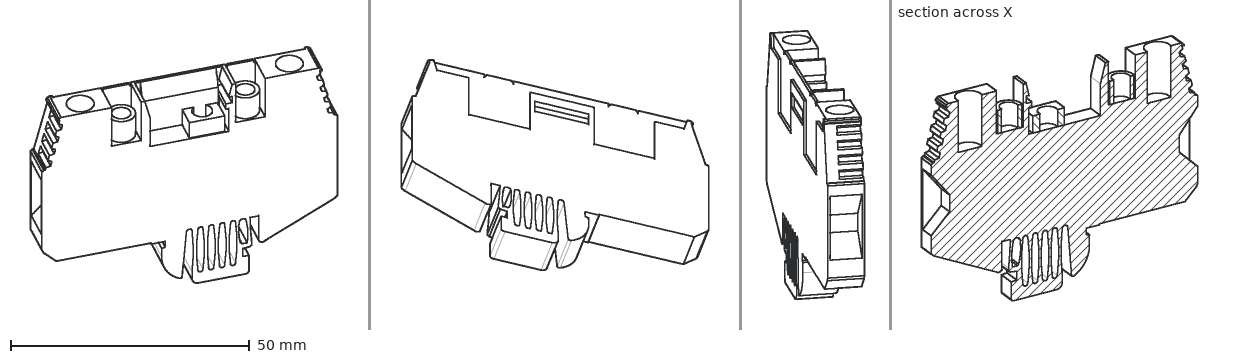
import cadquery as cq
import math


THICKNESS = 7.9
LENGTH = 65.0
HEIGHT = 50.0
HALF = LENGTH / 2

SHOULDER_Z = 37.05
SHOULDER_Y = 31.8
LIP_Y = 29.1
LIP_WIDTH = 0.8
LIP_HEIGHT = 0.8
LIP_FACET = (0.5, 0.25)
LIP_EDGE_DROP = 0.6
LIP_UNDERCUT = 0.45
LIP_Z = HEIGHT - LIP_HEIGHT
SLOPE_TOP_Y = LIP_Y - LIP_UNDERCUT
SHOULDER_CHAMFER = 0.4
SLOPE = (SHOULDER_Y - SLOPE_TOP_Y) / (LIP_Z - SHOULDER_Z)

END_BOTTOM_Z = 15.9
UNDERSIDE_Z = 12.75
RAIL_SEAT_Z = 12.5
RAIL_SEAT_END_Y = -8.5
END_CHAMFER = END_BOTTOM_Z - UNDERSIDE_Z
END_BREAK = 0.35
SLOT_TOP_Z = 14.5
RAMP_TOP = (31.7, 15.2)
RAMP_END = (16.6, 7.75)
RAMP_TIP_MIDDLE = (15.8, 7.5)
RAMP_TIP_Y = 15.2
RAMP_TIP_Z = 8.0
FOOT_Y_MAX = 13.05
FOOT_Y_MIN = 0.5
FOOT_RADIUS = 0.8
FOOT_HEEL_RADIUS = 1.4
BEAM_TOP_Y = 13.25
BEAM_MIDDLE = (13.42, 11.0)
BEAM_NOSE_Y = 13.66
BEAM_NOSE_TOP_Z = 8.0
BEAM_NOSE_BOTTOM_Z = 7.3
BEAM_NOSE_CORNER = (13.2, 6.9)
FOOT_NOTCH_Y = 11.67
FOOT_NOTCH_BOTTOM = 4.75
FOOT_NOTCH_TOP = 6.7
FOOT_NOTCH_TILT = 0.1
FOOT_SIDE_TOP_Z = 3.2
LAST_BEAM_MIDDLE = (0.75, 9.0)
FINGER_SLOT_WIDTH = 1.25
FINGER_TIP_INNER = (-1.66, 2.5)
FINGER_TIP_MIDDLE = (-1.85, 2.2)
FINGER_TIP_OUTER = (-2.3, 2.15)
FINGER_BELLY = (-5.1, 4.7)
FINGER_BELLY_TOP_Z = 8.6
FINGER_HOOK_Z = 10.8
FINGER_NECK_Z = 11.05
FINGER_OUTER_Y = -6.15
FINGER_NECK_Y = -5.4

LENS_COUNT = 4
LENS_FIRST_Y = 9.52
LENS_PITCH = 2.39
LENS_BOTTOM_Z = 2.85
LENS_END_WIDTH = 1.1
LENS_MIDDLE_WIDTH = 1.75

SHORT_SLOT_SHOULDER_Z = 14.0
SHORT_SLOT_OUTER_Y = 12.4
SHORT_SLOT_INNER_Y = 10.9
SHORT_SLOT_OUTER_MIDDLE = (12.78, 10.4)
SHORT_SLOT_INNER_MIDDLE = (10.75, 11.5)
SHORT_SLOT_BOTTOM_Z = 8.05
SHORT_SLOT_BOTTOM_OUTER_Y = 12.65
SHORT_SLOT_BOTTOM_INNER_Y = 11.2
SHORT_SLOT_CHAMFER = 0.3

SCREW_HOLE_DIAMETER = 5.8
SCREW_HOLE_DEPTH = 12.0
SCREW_HOLE_X = 4.5
SCREW_HOLE_Y = 23.0

FUNNEL_SIDE_WALL = 0.55
FUNNEL_DEPTH = 4.5
FUNNEL_MOUTH_BOTTOM = 20.2
FUNNEL_MOUTH_TOP = 34.3
FUNNEL_BACK_BOTTOM = 24.7
FUNNEL_BACK_TOP = 28.6

GROOVE_COUNT = 4
GROOVE_PITCH = 3.0
GROOVE_FIRST_TOP = 48.5
GROOVE_HEIGHT = 1.85
GROOVE_DEPTH = 1.0
GROOVE_ROOF_DROP = 0.65
GROOVE_FLOOR_RISE = 0.2
GROOVE_X = 2.7

LABEL_DEPTH = 0.55
LABEL_TOP_HALF = 27.8
LABEL_BAND_HALF = 27.1
LABEL_BAND_Z = 47.0
LABEL_LEG_Z = 35.1
LABEL_LEGS = [(20.1, 6.6), (-7.33, -20.66)]

POCKET_WALL = 1.1
POCKET_WIDTH = 6.46
POCKET_CENTRES = [13.33, -13.95]
POCKET_FLOOR_Z = 40.0
POCKET_NOTCH_WIDTH = 0.5
POCKET_NOTCH_DEPTH = 0.8
SOCKET_X = 4.4
SOCKET_DIAMETER = 6.0
SOCKET_BORE = 4.0
SOCKET_TOP_Z = 45.4

WINDOW_FLOOR_Z = 38.0
WINDOW_TOP_MAX = 9.3
WINDOW_TOP_MIN = -9.9
WINDOW_FLOOR_MIN = -8.7
RAMP_END_Z = 45.4
CATCH_RAMP_Y = 8.57
CATCH_RAMP_Z = 46.9
CATCH_SHELF_Y = 7.95
CATCH_SHELF_Z = 45.3
CATCH_SHELF_THICKNESS = 1.4
CATCH_UNDERCUT_Y = 8.6
WINDOW_SIDE_X = 1.15
WINDOW_SIDE_FOOT_X = 2.7
WINDOW_SIDE_FOOT_Z = 46.0
SLIDER_Y_MIN = 0.0
SLIDER_Y_MAX = 7.8
SLIDER_X_MAX = 7.6
SLIDER_TOP_Z = 42.0
SLIDER_HOLE_DIAMETER = 4.3
SLIDER_HOLE_Y = 3.85

LATCH_Y_MIN = -6.2
LATCH_Y_MAX = 5.65
LATCH_BOTTOM_Z = 41.2
LATCH_ROOF_Z = 43.4
LATCH_TOP_Z = 44.4
LATCH_DEPTH = 0.5


def side_plane(x):
    """Sketch plane with local (Y, Z) axes, standing at the given X."""
    return cq.Workplane("YZ", origin=(x, 0, 0))


def side_prism(points, x_start, x_end):
    """Prism along X from a (Y, Z) polygon."""
    return side_plane(x_start).polyline(points).close().extrude(x_end - x_start)


def mirrored_end(cutter):
    """The cutter together with its mirror image at the other end."""
    return cutter.union(cutter.mirror("XZ"))


def housing_blank():
    """Full side outline of the housing, including the spring foot."""
    lip_flat_y = LIP_Y - LIP_WIDTH
    lip_facet = (lip_flat_y + LIP_FACET[0], HEIGHT - LIP_FACET[1])
    lip_edge_z = HEIGHT - LIP_EDGE_DROP
    slot_left = FOOT_Y_MIN
    slot_right = FOOT_Y_MIN - FINGER_SLOT_WIDTH
    slot_radius = FINGER_SLOT_WIDTH / 2
    slot_end_z = SLOT_TOP_Z - slot_radius
    foot_45 = FOOT_RADIUS * (1 - math.sqrt(0.5))
    heel_45 = FOOT_HEEL_RADIUS * (1 - math.sqrt(0.5))
    outline = (
        side_plane(0)
        .moveTo(-lip_flat_y, HEIGHT)
        .lineTo(lip_flat_y, HEIGHT)
        .lineTo(*lip_facet)
        .lineTo(LIP_Y, lip_edge_z)
        .lineTo(LIP_Y, LIP_Z)
        .lineTo(SLOPE_TOP_Y, LIP_Z)
        .lineTo(SHOULDER_Y, SHOULDER_Z)
        .lineTo(HALF - SHOULDER_CHAMFER, SHOULDER_Z)
        .lineTo(HALF, SHOULDER_Z - SHOULDER_CHAMFER)
        .lineTo(HALF, END_BOTTOM_Z)
        .lineTo(*RAMP_TOP)
        .lineTo(*RAMP_END)
        .threePointArc(RAMP_TIP_MIDDLE, (RAMP_TIP_Y, RAMP_TIP_Z))
        .lineTo(RAMP_TIP_Y, SLOT_TOP_Z)
        .lineTo(BEAM_TOP_Y, SLOT_TOP_Z)
        .threePointArc(BEAM_MIDDLE, (BEAM_NOSE_Y, BEAM_NOSE_TOP_Z))
        .lineTo(BEAM_NOSE_Y, BEAM_NOSE_BOTTOM_Z)
        .lineTo(*BEAM_NOSE_CORNER)
        .lineTo(FOOT_NOTCH_Y, FOOT_NOTCH_TOP)
        .lineTo(FOOT_NOTCH_Y, FOOT_NOTCH_BOTTOM)
        .lineTo(FOOT_Y_MAX, FOOT_NOTCH_BOTTOM - FOOT_NOTCH_TILT)
        .lineTo(FOOT_Y_MAX, FOOT_RADIUS)
        .threePointArc((FOOT_Y_MAX - foot_45, foot_45), (FOOT_Y_MAX - FOOT_RADIUS, 0))
        .lineTo(FOOT_Y_MIN + FOOT_HEEL_RADIUS, 0)
        .threePointArc((FOOT_Y_MIN + heel_45, heel_45), (FOOT_Y_MIN, FOOT_HEEL_RADIUS))
        .lineTo(FOOT_Y_MIN, FOOT_SIDE_TOP_Z)
        .threePointArc(LAST_BEAM_MIDDLE, (slot_left, slot_end_z))
        .threePointArc((slot_left - slot_radius, SLOT_TOP_Z), (slot_right, slot_end_z))
        .lineTo(*FINGER_TIP_INNER)
        .threePointArc(FINGER_TIP_MIDDLE, FINGER_TIP_OUTER)
        .threePointArc(FINGER_BELLY, (FINGER_OUTER_Y, FINGER_BELLY_TOP_Z))
        .lineTo(FINGER_OUTER_Y, FINGER_HOOK_Z)
        .lineTo(FINGER_NECK_Y, FINGER_NECK_Z)
        .lineTo(FINGER_NECK_Y, RAIL_SEAT_Z)
        .lineTo(RAIL_SEAT_END_Y, RAIL_SEAT_Z)
        .lineTo(RAIL_SEAT_END_Y, UNDERSIDE_Z)
        .lineTo(END_CHAMFER - HALF, UNDERSIDE_Z)
        .lineTo(END_BREAK - HALF, END_BOTTOM_Z - END_BREAK)
        .lineTo(-HALF, END_BOTTOM_Z + END_BREAK)
        .lineTo(-HALF, SHOULDER_Z - SHOULDER_CHAMFER)
        .lineTo(SHOULDER_CHAMFER - HALF, SHOULDER_Z)
        .lineTo(-SHOULDER_Y, SHOULDER_Z)
        .lineTo(-SLOPE_TOP_Y, LIP_Z)
        .lineTo(-LIP_Y, LIP_Z)
        .lineTo(-LIP_Y, lip_edge_z)
        .lineTo(-lip_facet[0], lip_facet[1])
        .close()
    )
    return outline.extrude(THICKNESS)


def lens_slot(y):
    """Through slot with round ends and bulging sides."""
    end = LENS_END_WIDTH / 2
    middle = LENS_MIDDLE_WIDTH / 2
    low = LENS_BOTTOM_Z + end
    high = SLOT_TOP_Z - end
    middle_z = (low + high) / 2
    return (
        side_plane(0)
        .moveTo(y + end, low)
        .threePointArc((y + middle, middle_z), (y + end, high))
        .threePointArc((y, SLOT_TOP_Z), (y - end, high))
        .threePointArc((y - middle, middle_z), (y - end, low))
        .threePointArc((y, LENS_BOTTOM_Z), (y + end, low))
        .close()
        .extrude(THICKNESS)
    )


def short_slot():
    """Short through slot beside the outermost spring beam."""
    crown_y = (SHORT_SLOT_OUTER_Y + SHORT_SLOT_INNER_Y) / 2
    inner_foot = (SHORT_SLOT_BOTTOM_INNER_Y, SHORT_SLOT_BOTTOM_Z + SHORT_SLOT_CHAMFER)
    return (
        side_plane(0)
        .moveTo(SHORT_SLOT_BOTTOM_OUTER_Y, SHORT_SLOT_BOTTOM_Z)
        .threePointArc(SHORT_SLOT_OUTER_MIDDLE, (SHORT_SLOT_OUTER_Y, SHORT_SLOT_SHOULDER_Z))
        .threePointArc((crown_y, SLOT_TOP_Z), (SHORT_SLOT_INNER_Y, SHORT_SLOT_SHOULDER_Z))
        .threePointArc(SHORT_SLOT_INNER_MIDDLE, inner_foot)
        .lineTo(SHORT_SLOT_BOTTOM_INNER_Y + SHORT_SLOT_CHAMFER, SHORT_SLOT_BOTTOM_Z)
        .close()
        .extrude(THICKNESS)
    )


def screw_holes():
    return (
        cq.Workplane("XY", origin=(0, 0, HEIGHT))
        .pushPoints([(SCREW_HOLE_X, SCREW_HOLE_Y), (SCREW_HOLE_X, -SCREW_HOLE_Y)])
        .circle(SCREW_HOLE_DIAMETER / 2)
        .extrude(-SCREW_HOLE_DEPTH)
    )


def wire_funnels():
    """Tapered wire entry in each end face."""
    back_y = HALF - FUNNEL_DEPTH
    profile = [
        (HALF, FUNNEL_MOUTH_BOTTOM),
        (HALF, FUNNEL_MOUTH_TOP),
        (back_y, FUNNEL_BACK_TOP),
        (back_y, FUNNEL_BACK_BOTTOM),
    ]
    return mirrored_end(side_prism(profile, FUNNEL_SIDE_WALL, THICKNESS - FUNNEL_SIDE_WALL))


def slope_y(z):
    """Y of the sloped end face at height z."""
    return SLOPE_TOP_Y + (LIP_Z - z) * SLOPE


def grip_groove(top_z):
    """One groove, narrowing slightly towards its back wall, at both ends."""
    bottom_z = top_z - GROOVE_HEIGHT
    back_top_z = top_z - GROOVE_ROOF_DROP
    back_bottom_z = bottom_z + GROOVE_FLOOR_RISE
    profile = [
        (slope_y(top_z), top_z),
        (slope_y(back_top_z) - GROOVE_DEPTH, back_top_z),
        (slope_y(back_bottom_z) - GROOVE_DEPTH, back_bottom_z),
        (slope_y(bottom_z), bottom_z),
    ]
    return mirrored_end(side_prism(profile, GROOVE_X, THICKNESS))


def label_recess():
    """Band along the top edge with two legs reaching down."""
    (leg_a_out, leg_a_in), (leg_b_in, leg_b_out) = LABEL_LEGS
    profile = [
        (LABEL_TOP_HALF, HEIGHT),
        (LABEL_BAND_HALF, LABEL_BAND_Z),
        (leg_a_out, LABEL_BAND_Z),
        (leg_a_out, LABEL_LEG_Z),
        (leg_a_in, LABEL_LEG_Z),
        (leg_a_in, LABEL_BAND_Z),
        (leg_b_in, LABEL_BAND_Z),
        (leg_b_in, LABEL_LEG_Z),
        (leg_b_out, LABEL_LEG_Z),
        (leg_b_out, LABEL_BAND_Z),
        (-LABEL_BAND_HALF, LABEL_BAND_Z),
        (-LABEL_TOP_HALF, HEIGHT),
    ]
    return side_prism(profile, 0, LABEL_DEPTH)


def socket_pocket(centre_y):
    """Pocket open at the top and the +X side, with a V notch at each end of its side wall."""
    y_min = centre_y - POCKET_WIDTH / 2
    y_max = centre_y + POCKET_WIDTH / 2
    notch_z = HEIGHT - POCKET_NOTCH_DEPTH
    pocket = side_prism(
        [(y_min, POCKET_FLOOR_Z), (y_max, POCKET_FLOOR_Z), (y_max, HEIGHT), (y_min, HEIGHT)],
        POCKET_WALL,
        THICKNESS,
    )
    for wall_y, inward in [(y_min, 1), (y_max, -1)]:
        notch = [(wall_y, HEIGHT), (wall_y, notch_z), (wall_y + inward * POCKET_NOTCH_WIDTH, HEIGHT)]
        pocket = pocket.union(side_prism(notch, 0, POCKET_WALL))
    return pocket


def window():
    """Central opening with lead-in ramps, a catch at +Y and a sloped -X wall."""
    shelf_bottom_z = CATCH_SHELF_Z - CATCH_SHELF_THICKNESS
    profile = [
        (WINDOW_TOP_MAX, HEIGHT),
        (CATCH_RAMP_Y, CATCH_RAMP_Z),
        (WINDOW_TOP_MAX, CATCH_RAMP_Z),
        (WINDOW_TOP_MAX, CATCH_SHELF_Z),
        (CATCH_SHELF_Y, CATCH_SHELF_Z),
        (CATCH_SHELF_Y, shelf_bottom_z),
        (CATCH_UNDERCUT_Y, shelf_bottom_z),
        (CATCH_UNDERCUT_Y, WINDOW_FLOOR_Z),
        (WINDOW_FLOOR_MIN, WINDOW_FLOOR_Z),
        (WINDOW_FLOOR_MIN, RAMP_END_Z),
        (WINDOW_TOP_MIN, HEIGHT),
    ]
    opening = side_prism(profile, WINDOW_SIDE_X, THICKNESS)
    side_wall = (
        cq.Workplane("XZ", origin=(0, CATCH_SHELF_Y, 0))
        .polyline([
            (WINDOW_SIDE_X, HEIGHT),
            (WINDOW_SIDE_FOOT_X, WINDOW_SIDE_FOOT_Z),
            (WINDOW_SIDE_FOOT_X, WINDOW_FLOOR_Z),
            (WINDOW_SIDE_X, WINDOW_FLOOR_Z),
        ])
        .close()
        .extrude(CATCH_SHELF_Y - WINDOW_FLOOR_MIN)
    )
    return opening.cut(side_wall)


def latch_slot():
    """Blind slot with a sloped roof."""
    return (
        cq.Workplane("XZ", origin=(0, LATCH_Y_MAX, 0))
        .polyline([
            (0, LATCH_BOTTOM_Z),
            (LATCH_DEPTH, LATCH_BOTTOM_Z),
            (LATCH_DEPTH, LATCH_ROOF_Z),
            (0, LATCH_TOP_Z),
        ])
        .close()
        .extrude(LATCH_Y_MAX - LATCH_Y_MIN)
    )


def make_housing():
    body = housing_blank()
    for i in range(LENS_COUNT):
        body = body.cut(lens_slot(LENS_FIRST_Y - i * LENS_PITCH))
    for i in range(GROOVE_COUNT):
        body = body.cut(grip_groove(GROOVE_FIRST_TOP - i * GROOVE_PITCH))
    for centre_y in POCKET_CENTRES:
        body = body.cut(socket_pocket(centre_y))
    for cutter in [short_slot(), screw_holes(), wire_funnels(), label_recess(), window(), latch_slot()]:
        body = body.cut(cutter)
    return body


def make_socket(centre_y):
    """Test socket sleeve standing on its pocket floor."""
    return (
        cq.Workplane("XY", origin=(SOCKET_X, centre_y, POCKET_FLOOR_Z))
        .circle(SOCKET_DIAMETER / 2)
        .circle(SOCKET_BORE / 2)
        .extrude(SOCKET_TOP_Z - POCKET_FLOOR_Z)
    )


def make_slider():
    """Disconnect slider on the window floor; its hole breaks out towards the -X wall."""
    slider = cq.Workplane("XY").box(
        SLIDER_X_MAX - WINDOW_SIDE_FOOT_X,
        SLIDER_Y_MAX - SLIDER_Y_MIN,
        SLIDER_TOP_Z - WINDOW_FLOOR_Z,
        centered=False,
    ).translate((WINDOW_SIDE_FOOT_X, SLIDER_Y_MIN, WINDOW_FLOOR_Z))
    hole = (
        cq.Workplane("XY", origin=(SOCKET_X, SLIDER_HOLE_Y, WINDOW_FLOOR_Z))
        .circle(SLIDER_HOLE_DIAMETER / 2)
        .extrude(SLIDER_TOP_Z - WINDOW_FLOOR_Z)
    )
    return slider.cut(hole)


housing = make_housing()
sockets = [make_socket(centre_y) for centre_y in POCKET_CENTRES]
slider = make_slider()

result = cq.Compound.makeCompound([housing.val(), *[socket.val() for socket in sockets], slider.val()])